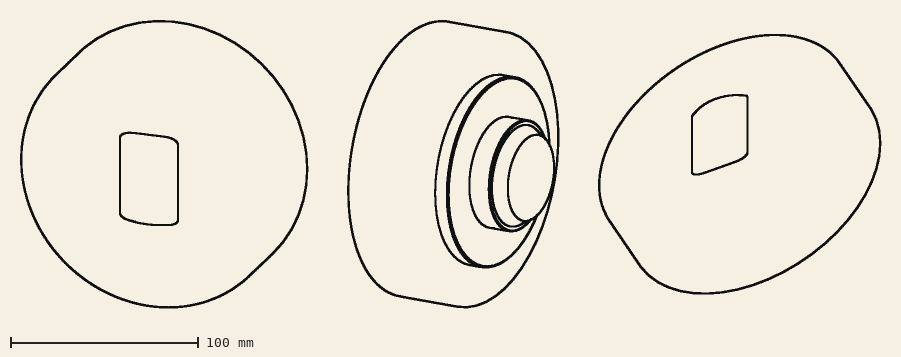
import cadquery as cq
import math


wheel_diameter = 149.0
wheel_thickness = 45.0
wheel_edge_radius = 3.0
front_face_diameter = 118.6
front_cone_angle = 15.0

flange_diameter = 103.0
flange_back = 53.0
stud_diameter = 60.0
stud_back = 65.7
flange_chamfer = 0.7
stud_chamfer = 0.5

taper_base_diameter = 55.0
taper_angle = 30.0
taper_length = 7.3

roller_diameter = 55.0
roller_length = 50.0
roller_edge_radius = 4.0
roller_projection = 5.5


def make_wheel():
    """Wheel with a shallow front cone and rounded rims."""
    wheel_radius = wheel_diameter / 2
    front_face_radius = front_face_diameter / 2
    cone_depth = (wheel_radius - front_face_radius) * math.tan(math.radians(front_cone_angle))
    profile = (
        cq.Workplane("XY")
        .moveTo(0, 0)
        .lineTo(front_face_radius, 0)
        .lineTo(wheel_radius, cone_depth)
        .lineTo(wheel_radius, wheel_thickness)
        .lineTo(0, wheel_thickness)
        .close()
    )
    wheel = profile.revolve(360, (0, 0, 0), (0, 1, 0))
    front_rim = cq.selectors.BoxSelector(
        (-wheel_diameter, cone_depth / 2, -wheel_diameter),
        (wheel_diameter, wheel_thickness / 2, wheel_diameter),
    )
    return wheel.edges(front_rim).fillet(wheel_edge_radius).edges(">Y").fillet(wheel_edge_radius)


def make_disc(diameter, front, back):
    """Disc about the Y axis between two Y positions."""
    return cq.Workplane("XZ", origin=(0, front, 0)).circle(diameter / 2).extrude(front - back)


def make_taper():
    """Cone that narrows toward the free end of the stud."""
    base_radius = taper_base_diameter / 2
    end_radius = base_radius - taper_length * math.tan(math.radians(taper_angle))
    cone = cq.Solid.makeCone(
        base_radius, end_radius, taper_length, pnt=cq.Vector(0, stud_back, 0), dir=cq.Vector(0, 1, 0)
    )
    return cq.Workplane(obj=cone)


def make_roller():
    """Side roller with rounded ends."""
    axis_y = roller_diameter / 2 - roller_projection
    return (
        cq.Workplane("XY", origin=(0, axis_y, -roller_length / 2))
        .circle(roller_diameter / 2)
        .extrude(roller_length)
        .edges("%CIRCLE")
        .fillet(roller_edge_radius)
    )


def make_housing(roller):
    """Wheel, flange and stud in one piece, with a pocket that matches the roller."""
    flange = make_disc(flange_diameter, wheel_thickness, flange_back).edges(">Y").chamfer(flange_chamfer)
    stud = make_disc(stud_diameter, flange_back, stud_back).edges(">Y").chamfer(stud_chamfer)
    return make_wheel().union(flange).union(stud).union(make_taper()).cut(roller)


roller = make_roller()
housing = make_housing(roller)

result = cq.Compound.makeCompound([housing.solids().val(), roller.solids().val()])